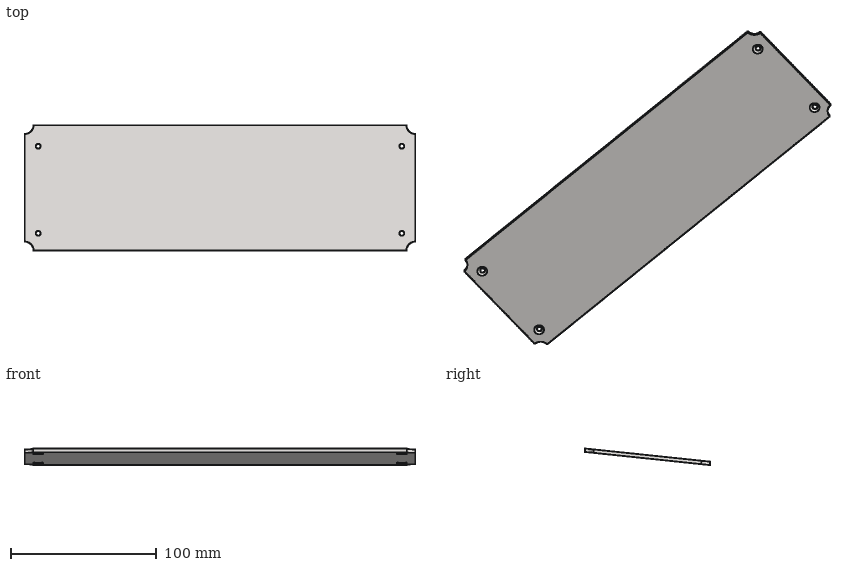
import cadquery as cq
import math

length = 268.5
width = 86.2
slope_angle = 6.0
vertical_thickness = 2.52
half_rise = width / 2 * math.tan(math.radians(slope_angle))

notch_diameter = 12.0
cutter_height = 26.8

hole_diameter = 3.2
countersink_diameter = 6.7
countersink_angle = 90.0
hole_spacing_x = 250.0
hole_spacing_y = 59.9
hole_offset_y = -1.3


def underside_height(y):
    """Z of the plate's lower face, with the plate centred on the origin."""
    return -vertical_thickness / 2 - y * math.tan(math.radians(slope_angle))


def make_plate():
    side_profile = [
        (-width / 2, half_rise - vertical_thickness / 2),
        (width / 2, -half_rise - vertical_thickness / 2),
        (width / 2, -half_rise + vertical_thickness / 2),
        (-width / 2, half_rise + vertical_thickness / 2),
    ]
    return cq.Workplane("YZ").polyline(side_profile).close().extrude(length / 2, both=True)


def make_corner_notches():
    return (
        cq.Workplane("XY")
        .rect(length, width, forConstruction=True)
        .vertices()
        .circle(notch_diameter / 2)
        .extrude(cutter_height / 2, both=True)
    )


def make_screw_hole(x, y):
    """Through hole with a cone that reaches the countersink diameter at the underside."""
    countersink_radius = countersink_diameter / 2
    half_angle = math.radians(countersink_angle / 2)
    cone_height = countersink_radius / math.tan(half_angle)
    overrun = countersink_radius / 2
    base_radius = countersink_radius + overrun * math.tan(half_angle)
    cone = cq.Solid.makeCone(
        base_radius, 0, cone_height + overrun, cq.Vector(x, y, underside_height(y) - overrun)
    )
    drill = cq.Solid.makeCylinder(hole_diameter / 2, cutter_height, cq.Vector(x, y, -cutter_height / 2))
    return cq.Workplane(drill).union(cq.Workplane(cone))


result = make_plate().cut(make_corner_notches())
for side_x in (-1, 1):
    for side_y in (-1, 1):
        hole_x = side_x * hole_spacing_x / 2
        hole_y = hole_offset_y + side_y * hole_spacing_y / 2
        result = result.cut(make_screw_hole(hole_x, hole_y))